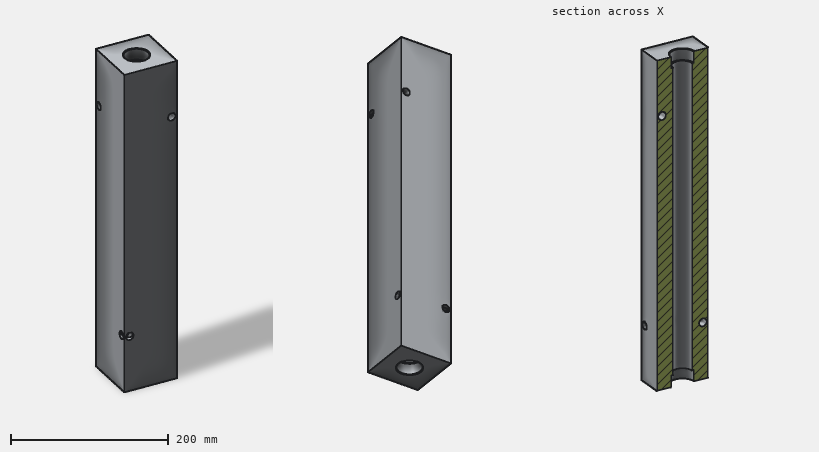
import cadquery as cq

length = 463.5
side = 76.0

bore_diameter = 28.0
counterbore_diameter = 33.0
counterbore_depth = 16.0
mouth_chamfer = 1.0

hole_diameter = 10.5
hole_edge_distance = 8.0
hole_end_distance = 79.5

hole_offset = side / 2 - hole_edge_distance
hole_height = length / 2 - hole_end_distance


def bore_profile():
    """Half section of the stepped bore, from the block's axis outwards."""
    bore_radius = bore_diameter / 2
    counterbore_radius = counterbore_diameter / 2
    mouth_radius = counterbore_radius + mouth_chamfer
    end = length / 2
    chamfer_level = end - mouth_chamfer
    step_level = end - counterbore_depth
    return (
        cq.Workplane("XZ")
        .moveTo(0, -end)
        .lineTo(mouth_radius, -end)
        .lineTo(counterbore_radius, -chamfer_level)
        .lineTo(counterbore_radius, -step_level)
        .lineTo(bore_radius, -step_level)
        .lineTo(bore_radius, step_level)
        .lineTo(counterbore_radius, step_level)
        .lineTo(counterbore_radius, chamfer_level)
        .lineTo(mouth_radius, end)
        .lineTo(0, end)
        .close()
    )


def hole_pair(plane, upper_offset):
    """Two cross holes, one near each end, on opposite sides of the block's axis."""
    centres = [(upper_offset, hole_height), (-upper_offset, -hole_height)]
    return (
        cq.Workplane(plane)
        .pushPoints(centres)
        .circle(hole_diameter / 2)
        .extrude(side, both=True)
    )


block = cq.Workplane("XY").box(side, side, length)
stepped_bore = bore_profile().revolve(360, (0, 0, 0), (0, 1, 0))

holes_along_y = hole_pair("XZ", -hole_offset)
holes_along_x = hole_pair("YZ", hole_offset)

result = block.cut(stepped_bore).cut(holes_along_y).cut(holes_along_x)